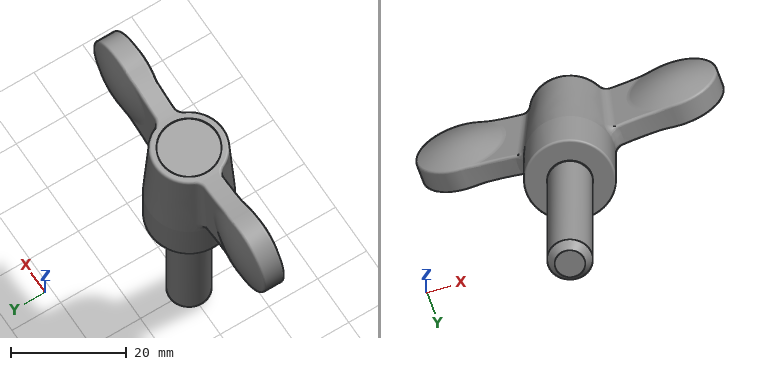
import cadquery as cq
import math


hub_radius = 8.0
hub_top_radius = 7.0
hub_height = 25.5
taper_start_z = 8.7
hub_bottom_round = 0.4

cap_diameter = 11.25
cap_seat_diameter = 11.3
cap_recess = 0.2
cap_groove_depth = 0.5

collar_diameter = 8.0
collar_height = 0.2
shank_diameter = 7.95
stud_length = 30.0
stud_tip_diameter = 5.3
stud_tip_height = 1.5

arm_thickness = 4.0
lobe_radius = 8.0
lobe_center_x = 19.5
lobe_center_z = 20.0
dome_half_width = 3.5
dome_foot_radius = 8.5
arm_root_x = 6.75
arm_root_low_z = 10.2
arm_curve_radius = 40.0

blend_radius = 2.0
rim_round = 0.5

headroom = 5.0
headroom_z = hub_height + headroom
join_x = 10.4
margin = 0.1
arm_face_y = arm_thickness / 2


def revolve_about_z(points):
    profile = cq.Workplane("YZ").polyline(points).close()
    return profile.revolve(360, (0, 0, 0), (0, 1, 0))


def block(x_min, x_max):
    """Block between two X planes, larger than the part in Y and Z."""
    span = 4 * stud_length
    return cq.Workplane("XY").box(x_max - x_min, span, span).translate(((x_min + x_max) / 2, 0, 0))


def arc_onto_lobe(z, side):
    """Hollow arc from (arm_root_x, z) that runs tangent into the lobe; side is +1 for the top, -1 for below.

    Returns a point midway along the arc and the tangent point.
    """
    dx = arm_root_x - lobe_center_x
    dz = z - lobe_center_z
    distance = math.hypot(dx, dz)
    reach = lobe_radius + arm_curve_radius
    cosine = (distance**2 + reach**2 - arm_curve_radius**2) / (2 * distance * reach)
    angle = math.atan2(dz, dx) - side * math.acos(cosine)
    center_x = lobe_center_x + reach * math.cos(angle)
    center_z = lobe_center_z + reach * math.sin(angle)
    tangent_x = lobe_center_x + lobe_radius * math.cos(angle)
    tangent_z = lobe_center_z + lobe_radius * math.sin(angle)
    chord_x = (arm_root_x + tangent_x) / 2
    chord_z = (z + tangent_z) / 2
    toward = math.atan2(chord_z - center_z, chord_x - center_x)
    middle = (
        center_x + arm_curve_radius * math.cos(toward),
        center_z + arm_curve_radius * math.sin(toward),
    )
    return middle, (tangent_x, tangent_z)


top_middle, top_tangent = arc_onto_lobe(hub_height, 1)
low_middle, low_tangent = arc_onto_lobe(arm_root_low_z, -1)


def make_wing_prism(thickness):
    """Arm and lobe silhouette, extruded evenly to both sides of the XZ plane."""
    lobe_tip = (lobe_center_x + lobe_radius, lobe_center_z)
    outline = (
        cq.Workplane("XZ")
        .moveTo(0, hub_height)
        .lineTo(arm_root_x, hub_height)
        .threePointArc(top_middle, top_tangent)
        .threePointArc(lobe_tip, low_tangent)
        .threePointArc(low_middle, (arm_root_x, arm_root_low_z))
        .lineTo(0, arm_root_low_z)
        .close()
    )
    return outline.extrude(thickness / 2, both=True)


def make_dome():
    """Lens about the lobe axis: spherical faces that run through a hollow blend into the arm faces."""
    blend_center_y = arm_face_y + blend_radius
    rise = blend_center_y - dome_half_width
    sphere_radius = (dome_foot_radius**2 + rise**2 - blend_radius**2) / (2 * (blend_radius - rise))
    sphere_center_y = dome_half_width - sphere_radius
    slope = math.atan2(dome_foot_radius, blend_center_y - sphere_center_y)
    half_slope = slope / 2

    def sphere_point(angle):
        return sphere_radius * math.sin(angle), sphere_center_y + sphere_radius * math.cos(angle)

    blend_middle = (
        dome_foot_radius - blend_radius * math.sin(half_slope),
        blend_center_y - blend_radius * math.cos(half_slope),
    )
    profile = (
        cq.Workplane("XY")
        .lineTo(0, dome_half_width)
        .threePointArc(sphere_point(half_slope), sphere_point(slope))
        .threePointArc(blend_middle, (dome_foot_radius, arm_face_y))
        .lineTo(dome_foot_radius, 0)
        .close()
    )
    half = profile.revolve(360, (0, 0, 0), (0, 1, 0))
    lens = half.union(half.mirror("XZ")).rotate((0, 0, 0), (0, 1, 0), 180)
    return lens.translate((lobe_center_x, 0, lobe_center_z))


def make_wing():
    """Domed lobe and arm with a rounded rim, beyond the join plane."""
    dome = make_dome().intersect(make_wing_prism(2 * dome_half_width))
    wing = make_wing_prism(arm_thickness).union(dome)
    wing = wing.faces("#Y").edges("not |Y").fillet(rim_round)
    return wing.cut(block(-join_x, join_x))


def make_arm_root():
    """Arm from the hub axis to the join plane, with rounded lower edges and extra height."""
    root = (
        cq.Workplane("XZ")
        .moveTo(0, arm_root_low_z)
        .lineTo(arm_root_x, arm_root_low_z)
        .threePointArc(low_middle, low_tangent)
        .lineTo(low_tangent[0], headroom_z)
        .lineTo(0, headroom_z)
        .close()
        .extrude(arm_thickness / 2, both=True)
    )
    return root.edges("%CIRCLE").fillet(rim_round).intersect(block(0, join_x))


def make_headroom():
    """Everything above the flat hub top and the upper curve of the arm."""
    ceiling_z = 2 * headroom_z
    return (
        cq.Workplane("XZ")
        .moveTo(-hub_radius, hub_height)
        .lineTo(arm_root_x, hub_height)
        .threePointArc(top_middle, top_tangent)
        .lineTo(top_tangent[0], ceiling_z)
        .lineTo(-hub_radius, ceiling_z)
        .close()
        .extrude(2 * hub_radius, both=True)
    )


def make_half_hub():
    """The +X half of the hub with its arm root blended in and the top edges rounded."""
    taper = (hub_radius - hub_top_radius) / (hub_height - taper_start_z)
    raised_radius = hub_top_radius - taper * (headroom_z - hub_height)
    hub = revolve_about_z(
        [(0, 0), (hub_radius, 0), (hub_radius, taper_start_z), (raised_radius, headroom_z), (0, headroom_z)]
    )
    body = hub.intersect(block(0, 2 * hub_radius)).union(make_arm_root())

    junction = cq.selectors.BoxSelector(
        (hub_radius / 2, -arm_face_y - margin, taper_start_z + margin),
        (hub_radius, arm_face_y + margin, headroom_z - margin),
    )
    body = body.edges(junction).fillet(blend_radius).cut(make_headroom())

    top_faces = cq.selectors.BoxSelector(
        (0, -arm_face_y, hub_height - margin),
        (join_x, arm_face_y, headroom_z),
    )
    return body.faces(top_faces).edges("not |Y").fillet(rim_round)


def make_stud():
    collar_radius = collar_diameter / 2
    shank_radius = shank_diameter / 2
    return revolve_about_z(
        [
            (0, 0),
            (collar_radius, 0),
            (collar_radius, -collar_height),
            (shank_radius, -collar_height),
            (shank_radius, stud_tip_height - stud_length),
            (stud_tip_diameter / 2, -stud_length),
            (0, -stud_length),
        ]
    )


def make_cap_clearance():
    """Shallow recess above the cap and the deeper hairline groove around it."""
    hub_top = cq.Workplane("XY", origin=(0, 0, hub_height))
    recess = hub_top.circle(cap_seat_diameter / 2).extrude(-cap_recess)
    groove = hub_top.circle(cap_seat_diameter / 2).circle(cap_diameter / 2).extrude(-cap_groove_depth)
    return recess.union(groove)


half_handle = make_half_hub().union(make_wing())
handle = half_handle.union(half_handle.mirror("YZ"))
handle = handle.faces("<Z").edges().fillet(hub_bottom_round)
result = handle.cut(make_cap_clearance()).union(make_stud())